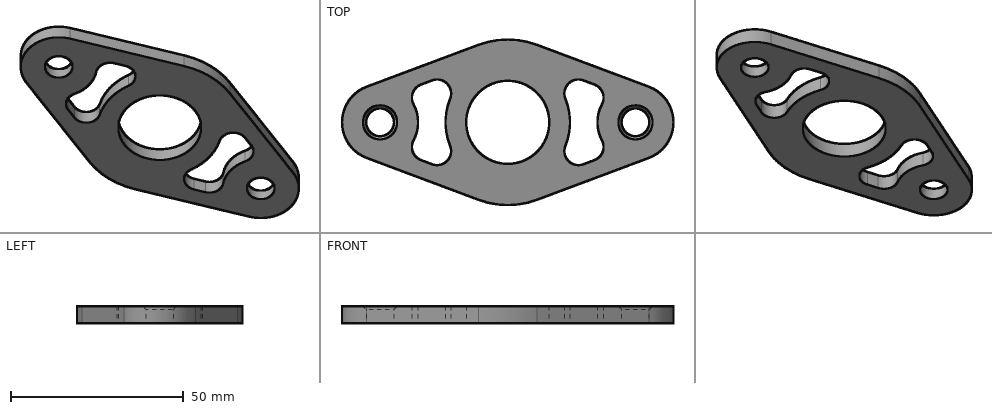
import cadquery as cq
import math

length = 96.0
thickness = 5.0
hub_radius = length / 4
end_radius = 11.0
bore_diameter = 24.0
bolt_hole_diameter = 8.0
bolt_chamfer = 1.0
chamfer_included_angle = 90.0
window_hub_radius = 18.0
window_edge_margin = 5.0
window_corner_radius = 4.0

bolt_offset = length / 2 - end_radius
normal_angle = math.acos((hub_radius - end_radius) / bolt_offset)


def polar(center_x, radius, angle):
    """Point at a radius and angle around a centre on the X axis."""
    return (center_x + radius * math.cos(angle), radius * math.sin(angle))


def mirrored(point):
    """Reflection of a point across the X axis."""
    return (point[0], -point[1])


def plate():
    """Diamond plate whose straight edges are tangent to the hub arcs and end arcs."""
    hub_x, hub_y = polar(0, hub_radius, normal_angle)
    end_x, end_y = polar(bolt_offset, end_radius, normal_angle)
    return (
        cq.Workplane("XY")
        .moveTo(-hub_x, hub_y)
        .threePointArc((0, hub_radius), (hub_x, hub_y))
        .lineTo(end_x, end_y)
        .threePointArc((length / 2, 0), (end_x, -end_y))
        .lineTo(hub_x, -hub_y)
        .threePointArc((0, -hub_radius), (-hub_x, -hub_y))
        .lineTo(-end_x, -end_y)
        .threePointArc((-length / 2, 0), (-end_x, end_y))
        .close()
        .extrude(thickness)
    )


def corner_angle(outer_radius, ring_radius):
    """Angle from the edge normal to a corner centre, seen from the ring centre.

    The corner circle touches the ring from outside and the line set in from the plate edge.
    """
    line_distance = outer_radius - window_edge_margin - window_corner_radius
    return math.acos(line_distance / (ring_radius + window_corner_radius))


def window():
    """Waisted opening on the +X side, between the bore ring and the bolt ring."""
    hub_angle = normal_angle - corner_angle(hub_radius, window_hub_radius)
    bolt_angle = normal_angle + corner_angle(end_radius, end_radius)
    hub_corner_x, hub_corner_y = polar(0, window_hub_radius + window_corner_radius, hub_angle)
    bolt_corner_x, bolt_corner_y = polar(bolt_offset, end_radius + window_corner_radius, bolt_angle)

    def on_hub_corner(angle):
        x, y = polar(hub_corner_x, window_corner_radius, angle)
        return (x, y + hub_corner_y)

    def on_bolt_corner(angle):
        x, y = polar(bolt_corner_x, window_corner_radius, angle)
        return (x, y + bolt_corner_y)

    hub_touch = on_hub_corner(hub_angle + math.pi)
    hub_middle = on_hub_corner((hub_angle + math.pi + normal_angle) / 2)
    hub_line_end = on_hub_corner(normal_angle)
    bolt_line_end = on_bolt_corner(normal_angle)
    bolt_middle = on_bolt_corner((bolt_angle - math.pi + normal_angle) / 2)
    bolt_touch = on_bolt_corner(bolt_angle - math.pi)
    return (
        cq.Workplane("XY")
        .moveTo(*hub_touch)
        .threePointArc(hub_middle, hub_line_end)
        .lineTo(*bolt_line_end)
        .threePointArc(bolt_middle, bolt_touch)
        .threePointArc((bolt_offset - end_radius, 0), mirrored(bolt_touch))
        .threePointArc(mirrored(bolt_middle), mirrored(bolt_line_end))
        .lineTo(*mirrored(hub_line_end))
        .threePointArc(mirrored(hub_middle), mirrored(hub_touch))
        .threePointArc((window_hub_radius, 0), hub_touch)
        .close()
        .extrude(thickness)
    )


result = plate()
result = result.cut(cq.Workplane("XY").circle(bore_diameter / 2).extrude(thickness))

result = (
    result.faces(">Z").workplane(origin=(0, 0, thickness))
    .pushPoints([(-bolt_offset, 0), (bolt_offset, 0)])
    .cskHole(bolt_hole_diameter, bolt_hole_diameter + 2 * bolt_chamfer, chamfer_included_angle)
)

for turn in (0, 180):
    result = result.cut(window().rotate((0, 0, 0), (0, 0, 1), turn))